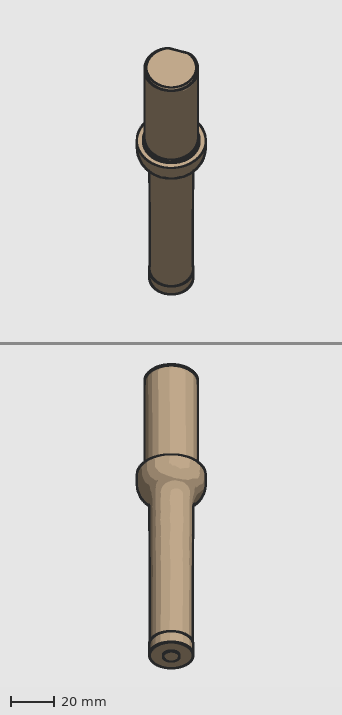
import cadquery as cq

total_length = 161.0
nub_height = 0.6
head_top = 7.1
taper_bottom = 48.8
taper_top = 82.3
neck_top = 87.3
collar_bottom = 99.8
collar_top = 105.3
relief_top = 106.9

shank_radius = 25.0 / 2
relief_radius = 24.5 / 2
collar_radius = 32.0 / 2
neck_radius = 20.6 / 2
stem_radius = 20.1 / 2
head_radius = 20.6 / 2
nub_radius = 7.7 / 2

end_chamfer_width = 1.0
end_chamfer_height = 1.1
ring_groove_height = 0.6
ring_groove_offset = 0.3
ring_groove_taper_height = 1.5

undercut_radius = 13.2
undercut_depth = 0.3
relief_slope = shank_radius - relief_radius

flare_mid_radius = (neck_radius + collar_radius) / 2
flare_mid_height = (neck_top + collar_bottom) / 2

flat_distance = 10.5
flat_bottom = 109.2
flat_runout = shank_radius - flat_distance

head_chamfer = 0.3


def revolve_about_z(profile):
    """Turn a closed radius/height profile into a full solid of revolution."""
    return profile.close().revolve(360, (0, 0, 0), (0, 1, 0))


def make_turned_holder():
    """Stem, tapered neck, flared collar and shank in one turned profile."""
    groove_top = total_length - end_chamfer_height - ring_groove_offset
    groove_bottom = groove_top - ring_groove_height
    profile = (
        cq.Workplane("XZ")
        .moveTo(0, head_top)
        .lineTo(stem_radius, head_top)
        .lineTo(stem_radius, taper_bottom)
        .lineTo(neck_radius, taper_top)
        .lineTo(neck_radius, neck_top)
        .tangentArcPoint((flare_mid_radius, flare_mid_height), relative=False)
        .tangentArcPoint((collar_radius, collar_bottom), relative=False)
        .lineTo(collar_radius, collar_top)
        .lineTo(undercut_radius, collar_top)
        .lineTo(relief_radius, collar_top - undercut_depth)
        .lineTo(relief_radius, relief_top - relief_slope)
        .lineTo(shank_radius, relief_top)
        .lineTo(shank_radius, groove_bottom - ring_groove_taper_height)
        .lineTo(relief_radius, groove_bottom)
        .lineTo(relief_radius, groove_top)
        .lineTo(shank_radius, groove_top)
        .lineTo(shank_radius, total_length - end_chamfer_height)
        .lineTo(shank_radius - end_chamfer_width, total_length)
        .lineTo(0, total_length)
    )
    return revolve_about_z(profile)


def make_flat_cutter():
    """Material removed for the driving flat, with a sloped lower runout."""
    return (
        cq.Workplane("YZ")
        .moveTo(flat_distance, total_length)
        .lineTo(flat_distance, flat_bottom + flat_runout)
        .lineTo(shank_radius, flat_bottom)
        .lineTo(collar_radius, flat_bottom)
        .lineTo(collar_radius, total_length)
        .close()
        .extrude(shank_radius, both=True)
    )


def make_holder():
    return make_turned_holder().cut(make_flat_cutter())


def make_head():
    """Cutting head: a short disc with a small central nub underneath."""
    profile = (
        cq.Workplane("XZ")
        .lineTo(nub_radius, 0)
        .lineTo(nub_radius, nub_height)
        .lineTo(head_radius - head_chamfer, nub_height)
        .lineTo(head_radius, nub_height + head_chamfer)
        .lineTo(head_radius, head_top)
        .lineTo(0, head_top)
    )
    return revolve_about_z(profile)


holder = make_holder()
head = make_head()
result = cq.Compound.makeCompound([holder.val(), head.val()])